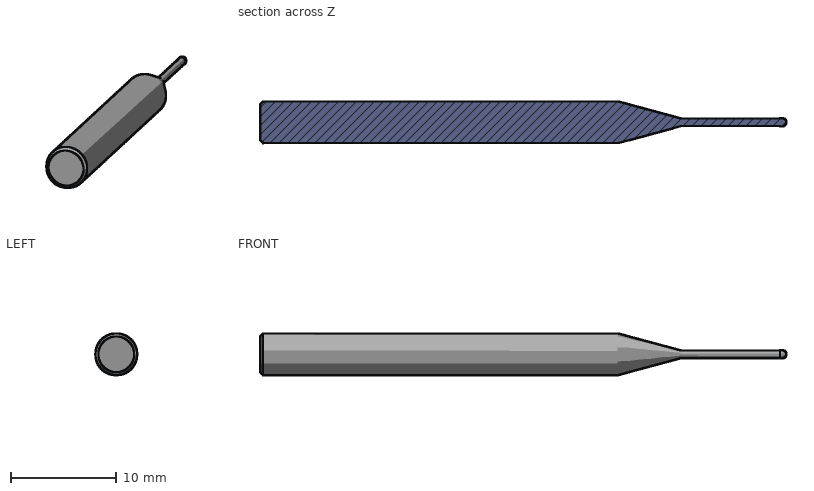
import math

import cadquery as cq

total_length = 50.0

shank_diameter = 4.0
shank_length = 34.0
shank_chamfer = 0.3

neck_start = 40.0
neck_diameter = 0.75

head_diameter = 0.8
head_land = 0.2

shank_radius = shank_diameter / 2
neck_radius = neck_diameter / 2
head_radius = head_diameter / 2
ball_center = total_length - head_radius
head_start = ball_center - head_land
ball_mid_offset = head_radius * math.sqrt(0.5)

body = (
    cq.Workplane("XY")
    .moveTo(0, 0)
    .lineTo(0, shank_radius - shank_chamfer)
    .lineTo(shank_chamfer, shank_radius)
    .lineTo(shank_length, shank_radius)
    .lineTo(neck_start, neck_radius)
    .lineTo(head_start, neck_radius)
    .lineTo(head_start, head_radius)
    .lineTo(ball_center, head_radius)
    .threePointArc((ball_center + ball_mid_offset, ball_mid_offset), (total_length, 0))
    .close()
    .revolve(360, (0, 0, 0), (1, 0, 0))
)

result = body.translate((-total_length / 2, 0, 0))